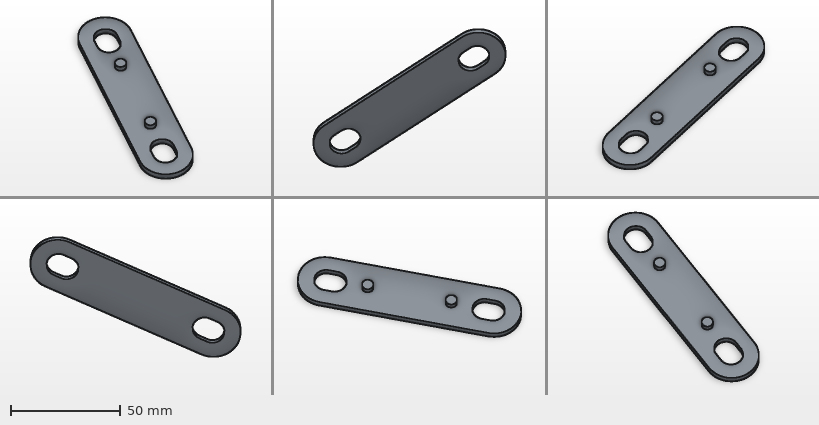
import cadquery as cq

length = 104.0
width = 25.0
thickness = 3.0

slot_length = 15.0
slot_width = 11.0
slot_offset = 37.0

peg_diameter = 5.2
peg_offset = 19.5
total_height = 5.5
peg_height = total_height - thickness


def make_plate():
    """Rounded plate resting on Z = 0, with its two slots cut through."""
    plate = cq.Workplane("XY").slot2D(length, width).extrude(thickness)
    slots = (
        cq.Workplane("XY")
        .pushPoints([(-slot_offset, 0), (slot_offset, 0)])
        .slot2D(slot_length, slot_width)
        .extrude(thickness)
    )
    return plate.cut(slots)


def make_pegs():
    """Two pegs standing on the top face."""
    return (
        cq.Workplane("XY")
        .workplane(offset=thickness)
        .pushPoints([(-peg_offset, 0), (peg_offset, 0)])
        .circle(peg_diameter / 2)
        .extrude(peg_height)
    )


result = make_plate().union(make_pegs())